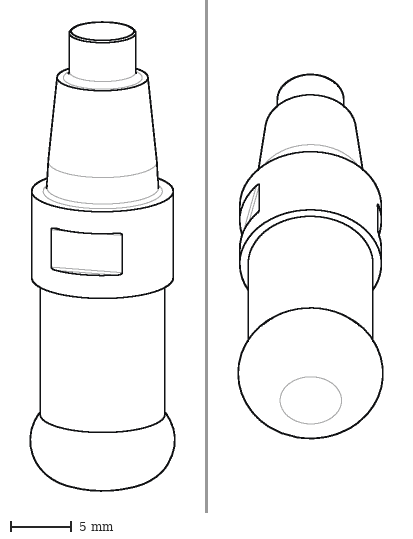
import cadquery as cq
import math

total_height = 38.8
shoulder_z = 34.8
cone_base_z = 27.55
neck_base_z = 25.3
collar_top_z = 25.0
collar_bottom_z = 17.5

tip_radius = 5.5 / 2
shoulder_radius = 3.75
cone_base_radius = 4.5
neck_base_radius = 4.6
collar_radius = 11.7 / 2
shaft_radius = 10.32 / 2

tip_chamfer = 0.15
tip_fillet = 0.5
neck_fillet = neck_base_z - collar_top_z

flat_distance = 5.0
flat_bottom_z = 19.48
flat_height = 3.6
flat_corner_radius = 0.2

foot_radius = 12.0 / 2
foot_round = 3.45
foot_core_radius = foot_radius - foot_round
foot_top_z = foot_round + math.sqrt(foot_round**2 - (shaft_radius - foot_core_radius) ** 2)


def concave_middle(radius, z, fillet):
    """Middle of a concave fillet between a wall at radius and a floor at z."""
    reach = fillet * (1 - math.sqrt(0.5))
    return (radius + reach, z + reach)


def turned_stem():
    """Shaft, collar, tapered neck and tip, turned as one profile."""
    return (
        cq.Workplane("XZ")
        .moveTo(0, foot_top_z)
        .lineTo(shaft_radius, foot_top_z)
        .lineTo(shaft_radius, collar_bottom_z)
        .lineTo(collar_radius, collar_bottom_z)
        .lineTo(collar_radius, collar_top_z)
        .lineTo(neck_base_radius + neck_fillet, collar_top_z)
        .threePointArc(
            concave_middle(neck_base_radius, collar_top_z, neck_fillet),
            (neck_base_radius, neck_base_z),
        )
        .lineTo(cone_base_radius, cone_base_z)
        .lineTo(shoulder_radius, shoulder_z)
        .lineTo(tip_radius + tip_fillet, shoulder_z)
        .threePointArc(
            concave_middle(tip_radius, shoulder_z, tip_fillet),
            (tip_radius, shoulder_z + tip_fillet),
        )
        .lineTo(tip_radius, total_height - tip_chamfer)
        .lineTo(tip_radius - tip_chamfer, total_height)
        .lineTo(0, total_height)
        .close()
        .revolve(360, (0, 0, 0), (0, 1, 0))
    )


def flat_cutter(side):
    """Block that cuts one flat; side is -1 for the -Y flat and +1 for the +Y flat."""
    inner_edges = "<Y" if side > 0 else ">Y"
    return (
        cq.Workplane("XY")
        .box(2 * collar_radius, collar_radius, flat_height)
        .faces(inner_edges)
        .edges("|X")
        .fillet(flat_corner_radius)
        .translate((0, side * (flat_distance + collar_radius / 2), flat_bottom_z + flat_height / 2))
    )


def make_stem():
    stem = turned_stem()
    for side in (-1, 1):
        stem = stem.cut(flat_cutter(side))
    return stem


def make_foot():
    """Foot with a flat bottom and a round side that ends at the shaft."""
    return (
        cq.Workplane("XZ")
        .lineTo(foot_core_radius, 0)
        .threePointArc((foot_radius, foot_round), (shaft_radius, foot_top_z))
        .lineTo(0, foot_top_z)
        .close()
        .revolve(360, (0, 0, 0), (0, 1, 0))
    )


stem = make_stem()
foot = make_foot()

result = cq.Compound.makeCompound([stem.val(), foot.val()])